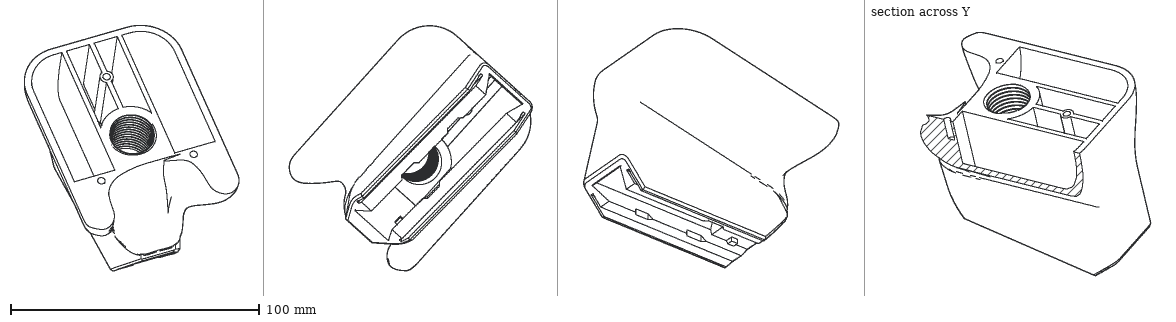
import cadquery as cq
import math

TILT = 12.5
TOP_CORNER = (13.15, 0, 73.16)
sin_t = math.sin(math.radians(TILT))
cos_t = math.cos(math.radians(TILT))
TOP = cq.Plane(TOP_CORNER, (cos_t, 0, -sin_t), (sin_t, 0, cos_t))

HEAD_DEPTH = 33.0
HEAD_HALF = 33.5
HEAD_CORNER = 17.0
FLARE_TOP = 16.0
FLARE_BOTTOM = 28.0
FLARE_STEPS = 6
FLARE_CROWDING = 1.3
COLLAR = 1.0

FOOT_HALF = 14.25
FOOT_CORNER = 3.0
FOOT_BACK_X = 10.2
FOOT_FRONT_X = 72.35
SLOPE = 50.0
NOSE_START_X = 73.7
NOSE_ARC_X = 80.9
NOSE_X = 88.2
NOSE_ANGLE = 33.0
EDGE_CHAMFER = 1.0

FRONT_TOP = [(79, HEAD_HALF), (84.8, 31.3), (86.8, 27), (83.3, 21.6), (76, 20.2),
             (70, 18.6), (65.9, 14.3), (63.8, 8), (62.9, 0)]
FRONT_FOOT = [(60, FOOT_HALF), (62, FOOT_HALF), (64.5, FOOT_HALF), (69.5, 14.22), (73.5, 13.8),
              (78, 12.4), (82.2, 9.9), (84.2, 6.8), (84.4, 0)]

BACK_WALL = 2.9
SIDE_WALL = 3.0
POCKET_END = 61.9
DIVIDER_IN = 11.0
DIVIDER_WALL = 2.0
DIVIDER_OUT = DIVIDER_IN + DIVIDER_WALL
BORE_U = 47.9
BOSS_RADIUS = 12.9
BOSS_DEPTH = 34.0
BORE_DIA = 17.92
THREAD_DIA = 20.29
THREAD_PITCH = 1.814
THREAD_MOUTH = 1.5
THREAD_OVERLAP = 0.1
THREAD_LENGTH = 25.9
THREAD_END = 25.5
RIB_THICKNESS = 2.1
POST_U = 19.4
POST_DIA = 5.4
POST_DEPTH = 30.0
SCREW_DIA = 3.0
SCREW_DEPTH = 10.0
EAR_SCREW_U = 64.9
EAR_SCREW_Y = 20.0

RAIL_Z = 3.0
RAIL_GAP = 5.7
CHANNEL_TOP = 10.1
CHANNEL_TOP_HALF = 9.25
SKIRT_WALL = 2.0
GROOVE_WIDTH = 1.05
GROOVE_OUT = FOOT_HALF - SKIRT_WALL
GROOVE_TOP = 7.8
GROOVE_END_X = 76.4
NOTCH_HALF = 7.1
BACK_NOTCH_X = (21.0, 30.0)
FRONT_NOTCH_X = (47.0, 57.0)
TAB_X = 70.0
TAB_LENGTH = 3.0
TAB_Z = 8.1
LONG = 120.0
CLEARANCE = 1.0


def at_depth(depth):
    return cq.Workplane(TOP).workplane(offset=-depth)


def prism(u_min, u_max, half_width, depth_from, depth_to):
    """Box in the tilted frame, symmetric about Y = 0."""
    return (at_depth(depth_to).center((u_min + u_max) / 2, 0)
            .rect(u_max - u_min, 2 * half_width).extrude(depth_to - depth_from))


def rod(u, y, diameter, depth):
    return at_depth(depth).center(u, y).circle(diameter / 2).extrude(depth)


def flare(step):
    """Depth and blend (0 at the top, 1 at the foot) along a cubic Bezier S-curve."""
    t = (step / FLARE_STEPS) ** FLARE_CROWDING
    upper_pull = 3 * t * (1 - t) ** 2 * FLARE_TOP
    lower_pull = 3 * t ** 2 * (1 - t) * FLARE_BOTTOM
    depth = upper_pull + lower_pull + t ** 3 * HEAD_DEPTH
    return depth, t ** 2 * (3 - 2 * t)


def mix(a, b, blend):
    return a + (b - a) * blend


def back_outline(depth, back, half, radius, front_u):
    """Open outline from the front of the -Y side, round the back, to the front of the +Y side."""
    bulge = radius * (1 - math.sqrt(0.5))
    return (at_depth(depth).moveTo(front_u, -half).lineTo(back + radius, -half)
            .threePointArc((back + bulge, bulge - half), (back, radius - half))
            .lineTo(back, half - radius)
            .threePointArc((back + bulge, half - bulge), (back + radius, half))
            .lineTo(front_u, half))


def head_section(step):
    depth, blend = flare(step)
    half = mix(HEAD_HALF, FOOT_HALF, blend)
    radius = mix(HEAD_CORNER, FOOT_CORNER, blend ** 2)
    front = [(mix(a[0], b[0], blend), mix(a[1], b[1], blend)) for a, b in zip(FRONT_TOP, FRONT_FOOT)]
    opposite = [(u, -y) for u, y in reversed(front)]
    outline = back_outline(depth, 0, half, radius, front[0][0])
    outline = outline.spline(front[1:], tangents=[(1, 0), (0, -1)], includeCurrent=True)
    return outline.spline(opposite[1:], tangents=[(0, -1), (-1, 0)], includeCurrent=True).close()


def pocket_section(step):
    depth, blend = flare(step)
    half = mix(HEAD_HALF, FOOT_HALF, blend) - SIDE_WALL
    radius = mix(HEAD_CORNER - SIDE_WALL, FOOT_CORNER, blend ** 2)
    return back_outline(depth, BACK_WALL, half, radius, POCKET_END).close()


def loft(section):
    wires = [section(step).val() for step in range(FLARE_STEPS + 1)]
    return cq.Workplane(cq.Solid.makeLoft(wires))


def make_head():
    collar = head_section(FLARE_STEPS).extrude(-COLLAR)
    return loft(head_section).union(collar)


def make_foot():
    toward_back = cq.selectors.DirectionMinMaxSelector(TOP.xDir, False)
    along_depth = cq.selectors.ParallelDirSelector(TOP.zDir)
    block = prism(0, LONG, FOOT_HALF, HEAD_DEPTH, HEAD_DEPTH + LONG)
    block = block.faces(toward_back).edges(along_depth).fillet(FOOT_CORNER)

    angle = math.radians(NOSE_ANGLE)
    radius = (NOSE_ARC_X - NOSE_START_X) / math.sin(angle)
    mid_x = NOSE_START_X + radius * math.sin(angle / 2)
    mid_y = FOOT_HALF - radius * (1 - math.cos(angle / 2))
    arc_y = FOOT_HALF - radius * (1 - math.cos(angle))
    nose_y = arc_y - (NOSE_X - NOSE_ARC_X) * math.tan(angle)
    plan = (cq.Workplane("XY").moveTo(-LONG, -FOOT_HALF).lineTo(NOSE_START_X, -FOOT_HALF)
            .threePointArc((mid_x, -mid_y), (NOSE_ARC_X, -arc_y)).lineTo(NOSE_X, -nose_y)
            .lineTo(NOSE_X, nose_y).lineTo(NOSE_ARC_X, arc_y)
            .threePointArc((mid_x, mid_y), (NOSE_START_X, FOOT_HALF))
            .lineTo(-LONG, FOOT_HALF).close().extrude(LONG))

    run = LONG / math.tan(math.radians(SLOPE))
    side = (cq.Workplane("XZ").moveTo(FOOT_BACK_X, 0).lineTo(FOOT_FRONT_X, 0)
            .lineTo(FOOT_FRONT_X + run, LONG).lineTo(FOOT_BACK_X - run, LONG).close()
            .extrude(LONG, both=True))
    foot = block.intersect(plan).intersect(side)
    return foot.newObject(lower_rim(foot)).chamfer(EDGE_CHAMFER)


def lower_rim(foot):
    """Outer edges of the underside and of both slanted ends, without the two edges they share."""
    slope_x = math.sin(math.radians(SLOPE))
    slope_z = math.cos(math.radians(SLOPE))
    edges = set()
    for normal in ((0, 0, -1), (slope_x, 0, -slope_z), (-slope_x, 0, -slope_z)):
        facing = cq.selectors.DirectionMinMaxSelector(cq.Vector(normal))
        edges.update(foot.faces(facing).edges().vals())
    shared = foot.faces("<Z").edges("|Y").vals()
    return [edge for edge in edges if edge not in shared]


def make_side_pockets():
    middle = prism(0, LONG, DIVIDER_OUT, -CLEARANCE, LONG)
    return loft(pocket_section).cut(middle)


def channel_walls():
    """Cross-section of the hollow middle: dovetail below, straight walls above, along X."""
    spread = (CHANNEL_TOP_HALF - RAIL_GAP) / (CHANNEL_TOP - RAIL_Z)
    wall_z = RAIL_Z + (DIVIDER_IN - RAIL_GAP) / spread
    points = [(RAIL_GAP, RAIL_Z), (DIVIDER_IN, wall_z), (DIVIDER_IN, LONG)]
    opposite = [(-y, z) for y, z in reversed(points)]
    return cq.Workplane("YZ").polyline(points + opposite).close().extrude(LONG, both=True)


def make_middle_cavity():
    upper = prism(BACK_WALL, BORE_U, DIVIDER_IN, -CLEARANCE, BOSS_DEPTH)
    upper = upper.cut(rod(BORE_U, 0, 2 * BOSS_RADIUS, BOSS_DEPTH))
    upper = upper.cut(rod(POST_U, 0, POST_DIA, POST_DEPTH))
    upper = upper.cut(prism(BACK_WALL, BORE_U, RIB_THICKNESS / 2, 0, POST_DEPTH))
    lower = prism(BACK_WALL, POCKET_END, DIVIDER_IN, BOSS_DEPTH, LONG)
    return upper.union(lower).intersect(channel_walls())


def make_rail_channel():
    """Everything open from end to end: the dovetail, the space under it and the side grooves."""
    below_top = cq.Workplane("XY").box(2 * LONG, LONG, CHANNEL_TOP, centered=(True, True, False))
    channel = channel_walls().intersect(below_top)
    under = cq.Workplane("XY").box(2 * LONG, 2 * GROOVE_OUT, RAIL_Z, centered=(True, True, False))
    channel = channel.union(under)
    for side in (-1, 1):
        groove = (cq.Workplane("XY")
                  .box(GROOVE_END_X, GROOVE_WIDTH, GROOVE_TOP, centered=(False, True, False))
                  .translate((0, side * (GROOVE_OUT - GROOVE_WIDTH / 2), 0)))
        channel = channel.union(groove)
    return channel


def make_rail_notch(x_from, x_to, sides):
    """Relief in the rail tips with ends at 45 degrees."""
    step = NOTCH_HALF - RAIL_GAP
    notch = None
    for side in sides:
        outline = [(x_from, 0), (x_from, RAIL_GAP), (x_from + step, NOTCH_HALF),
                   (x_to - step, NOTCH_HALF), (x_to, RAIL_GAP), (x_to, 0)]
        points = [(x, side * y) for x, y in outline]
        cut = cq.Workplane("XY").polyline(points).close().extrude(CHANNEL_TOP)
        notch = cut if notch is None else notch.union(cut)
    return notch


def make_stop_tabs():
    height = CHANNEL_TOP - TAB_Z
    tabs = None
    for side in (-1, 1):
        tab = (cq.Workplane("XY")
               .box(TAB_LENGTH, DIVIDER_IN - RAIL_GAP, height, centered=(False, True, False))
               .translate((TAB_X, side * (DIVIDER_IN + RAIL_GAP) / 2, TAB_Z)))
        tabs = tab if tabs is None else tabs.union(tab)
    return tabs


def make_thread():
    """Helical groove with a V-shaped profile."""
    inner = BORE_DIA / 2 - THREAD_OVERLAP
    outer = THREAD_DIA / 2
    helix = cq.Wire.makeHelix(THREAD_PITCH, THREAD_LENGTH, inner)
    groove = (cq.Workplane("XZ")
              .polyline([(inner, -THREAD_MOUTH / 2), (outer, 0), (inner, THREAD_MOUTH / 2)]).close()
              .sweep(cq.Workplane(helix), isFrenet=True))
    start = cq.Location(cq.Vector(BORE_U, 0, -THREAD_END))
    return groove.val().moved(cq.Location(TOP) * start)


def make_screw_holes():
    holes = rod(POST_U, 0, SCREW_DIA, SCREW_DEPTH)
    for side in (-1, 1):
        holes = holes.union(rod(EAR_SCREW_U, side * EAR_SCREW_Y, SCREW_DIA, SCREW_DEPTH))
    return holes


part = make_head().union(make_foot())
part = part.cut(make_side_pockets())
part = part.cut(make_middle_cavity())
part = part.cut(make_rail_channel())
part = part.cut(make_rail_notch(*BACK_NOTCH_X, (1,)))
part = part.cut(make_rail_notch(*FRONT_NOTCH_X, (-1, 1)))
part = part.union(make_stop_tabs())
part = part.cut(rod(BORE_U, 0, BORE_DIA, BOSS_DEPTH))
part = part.cut(make_screw_holes())
result = part.cut(make_thread())